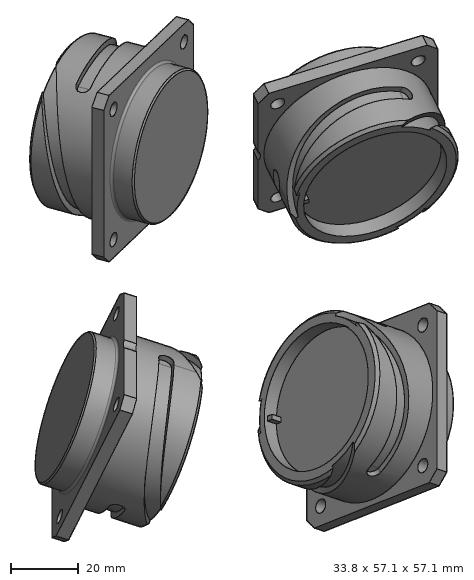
import cadquery as cq
import math


flange_side = 57.1
flange_thickness = 4.0
flange_front = 22.3
flange_back = flange_front + flange_thickness
flange_corner = 3.4
hole_spacing = 44.7
hole_diameter = 4.4
notch_width = 3.9
notch_depth = 0.75

barrel_radius = 26.75
rim_chamfer = 1.0
recess_radius = 22.75
recess_depth = 4.8

key_width = 1.55
key_height = 2.1
key_length = 3.6
key_wall_overlap = 0.5

overall_length = 33.8
boss_radius = 23.8
boss_end_chamfer = 0.5
boss_root_fillet = 0.8

groove_count = 3
groove_width = 4.8
groove_floor_radius = 24.85
groove_end_x = 12.1
groove_curvature = 0.00106
groove_level_angle = -48.0
groove_end_angle = -62.5
groove_entry_angle = 75.0
groove_steps = 40
groove_clearance = 1.5


def revolve_about_x(profile):
    """Revolve a closed (x, radius) profile about the X axis."""
    return cq.Workplane("XY").polyline(profile).close().revolve(360, (0, 0, 0), (1, 0, 0))


def make_barrel():
    profile = [
        (0, 0),
        (0, barrel_radius - rim_chamfer),
        (rim_chamfer, barrel_radius),
        (flange_front, barrel_radius),
        (flange_front, 0),
    ]
    recess = cq.Workplane("YZ").circle(recess_radius).extrude(recess_depth)
    return revolve_about_x(profile).cut(recess)


def make_key():
    key = cq.Workplane("XY").box(
        key_length, key_height + key_wall_overlap, key_width, centered=(False, False, True)
    )
    return key.translate((recess_depth - key_length, recess_radius - key_height, 0))


def make_flange():
    plate = (
        cq.Workplane("YZ", origin=(flange_front, 0, 0))
        .rect(flange_side, flange_side)
        .extrude(flange_thickness)
        .edges("|X")
        .chamfer(flange_corner)
    )
    holes = (
        cq.Workplane("YZ", origin=(flange_front, 0, 0))
        .rect(hole_spacing, hole_spacing, forConstruction=True)
        .vertices()
        .circle(hole_diameter / 2)
        .extrude(flange_thickness)
    )
    notch_radius = ((notch_width / 2) ** 2 + notch_depth**2) / (2 * notch_depth)
    notch_centre = flange_side / 2 - notch_depth + notch_radius
    notch = (
        cq.Workplane("YZ", origin=(flange_front, notch_centre, 0))
        .circle(notch_radius)
        .extrude(flange_thickness)
    )
    return plate.cut(holes).cut(notch)


def make_boss():
    root_centre = (flange_back + boss_root_fillet, boss_radius + boss_root_fillet)
    arc_offset = boss_root_fillet * math.sqrt(0.5)
    return (
        cq.Workplane("XY")
        .moveTo(flange_back, 0)
        .lineTo(flange_back, boss_radius + boss_root_fillet)
        .threePointArc(
            (root_centre[0] - arc_offset, root_centre[1] - arc_offset),
            (flange_back + boss_root_fillet, boss_radius),
        )
        .lineTo(overall_length - boss_end_chamfer, boss_radius)
        .lineTo(overall_length, boss_radius - boss_end_chamfer)
        .lineTo(overall_length, 0)
        .close()
        .revolve(360, (0, 0, 0), (1, 0, 0))
    )


def on_cylinder(x, angle, radius):
    """Point at an angle (degrees, from -Y towards +Z) on a cylinder about X."""
    return cq.Vector(x, -radius * math.cos(math.radians(angle)), radius * math.sin(math.radians(angle)))


def groove_edge(side, radius):
    """Curve along one groove wall: half a width to one side of the centre line, at a given radius."""
    degree_length = barrel_radius * math.radians(1)
    points = []
    for step in range(groove_steps + 1):
        angle = groove_end_angle + (groove_entry_angle - groove_end_angle) * step / groove_steps
        past_level = max(0.0, angle - groove_level_angle)
        x = groove_end_x - groove_curvature * past_level**2
        slope = -2 * groove_curvature * past_level / degree_length
        offset = side * groove_width / 2 / math.hypot(1, slope)
        points.append(on_cylinder(x + offset, angle - offset * slope / degree_length, radius))
    return cq.Edge.makeSpline(points)


def make_groove_cutters():
    """Two solids that cut one groove: the curved channel and its radial round end."""
    outer_radius = barrel_radius + groove_clearance
    corners = [(-1, groove_floor_radius), (1, groove_floor_radius), (1, outer_radius), (-1, outer_radius)]
    rails = [groove_edge(side, radius) for side, radius in corners]
    faces = [cq.Face.makeRuledSurface(rails[i - 1], rails[i]) for i in range(len(rails))]
    for corner_points in ([rail.startPoint() for rail in rails], [rail.endPoint() for rail in rails]):
        floor_line = cq.Edge.makeLine(corner_points[0], corner_points[1])
        outer_line = cq.Edge.makeLine(corner_points[3], corner_points[2])
        faces.append(cq.Face.makeRuledSurface(floor_line, outer_line))
    channel = cq.Solid.makeSolid(cq.Shell.makeShell(faces))
    round_end = cq.Solid.makeCylinder(
        groove_width / 2,
        outer_radius - groove_floor_radius,
        on_cylinder(groove_end_x, groove_end_angle, groove_floor_radius),
        on_cylinder(0, groove_end_angle, 1),
    )
    return channel, round_end


def cut_grooves(barrel):
    for index in range(groove_count):
        for cutter in make_groove_cutters():
            turned = cutter.rotate(cq.Vector(0, 0, 0), cq.Vector(1, 0, 0), index * 360 / groove_count)
            barrel = barrel.cut(cq.Workplane(turned))
    return barrel


result = cut_grooves(make_barrel())
result = result.union(make_key()).union(make_flange()).union(make_boss())